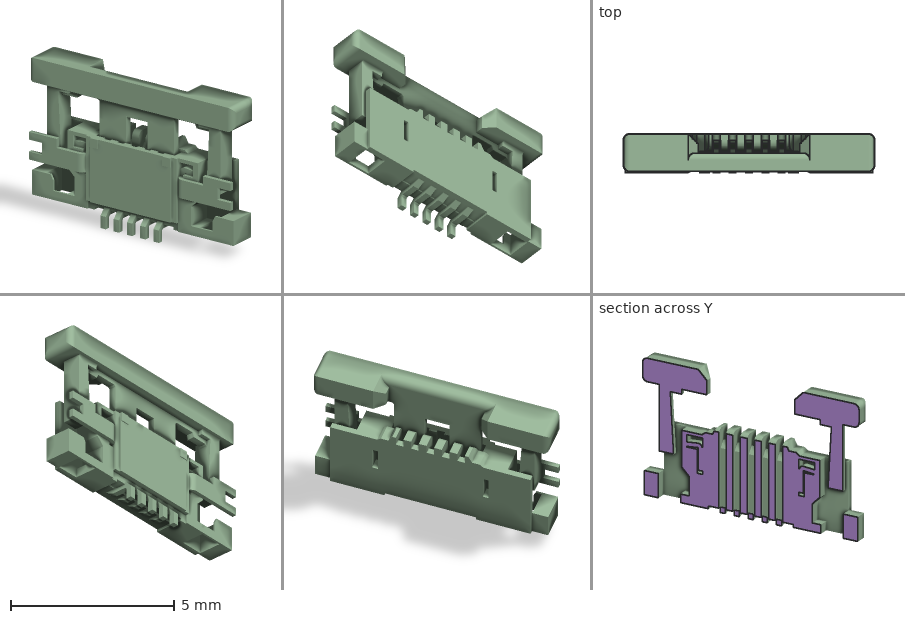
import cadquery as cq
import math


SLIDER_LENGTH = 7.7
SLIDER_BOTTOM = 3.76
SLIDER_TOP = 4.55
SLIDER_FRONT = 0.05
BACK = 1.2
END_ROUND = 0.19
NOTCH_HALF = 1.86
NOTCH_FLOOR = 0.61
NOTCH_ROUND = 0.2
GUSSET = 0.31

ARM_OUT = 3.265
ARM_IN_TOP = 2.84
ARM_IN_BOTTOM = 2.73
ARM_FRONT = 0.215
ARM_BACK = 0.825
ARM_BOTTOM = 1.555
ARM_ROOT_IN = 2.45
ARM_ROOT_FLARE = 0.06

WEB_BOTTOM = 3.595
WEB_END_BOTTOM = 3.46
WEB_END_IN = 2.255
WEB_SLOPE = 0.055
TONGUE_HALF = 1.4
TONGUE_FRONT = 0.37
TONGUE_RELIEF = 0.055
WINDOW_HALF = 0.41
WINDOW_TOP = 3.25

HOUSING_TOP = 2.42
BODY_HALF = 2.46
BODY_FRONT = 0.17
PLATE_HALF = 3.265
PLATE_FRONT = 1.01
EAR_HALF = 3.795
EAR_TOP = 0.82
EAR_BACK = 1.08
FLOOR_TOP = 0.3
POCKET_IN = 2.195
POCKET_OUT = 3.01
POCKET_CHAMFER_X = 0.085
POCKET_CHAMFER_Z = 0.17
POCKET_BEVEL_LOW = 0.925
CHANNEL_IN = 2.495
CHANNEL_OUT = 3.28
CHANNEL_FRONT = 0.24

PANEL_HALF = 1.71
PANEL_FRONT = 0.09
FACE_HALF = 1.52
FACE_FRONT = 0.03
CORNER_PAD = 0.3
RAIL_FRONT = 0.23
RAIL_BACK = 0.58
RAIL_BOTTOM = 0.09
RAIL_HALF = 1.49

CAVITY_HALF = 1.485
CAVITY_FRONT = 0.29
CAVITY_BACK = 0.655
GROOVE_FRONT = 0.2

LEDGE_TOP = 2.51
LEDGE_HALF = 1.73
LEDGE_TOP_HALF = 1.61
RIB_TOP = 2.725
RIB_ROUND_DEPTH = 0.18
RIB_HALF = 1.24
RIB_BASE_HALF = 1.36

CONTACTS = 5
PITCH = 0.5
GROOVE_WIDTH = 0.25
GROOVE_BACK = 1.0
PIN_WIDTH = 0.2
PIN_BOTTOM = -0.45
PIN_THICK = 0.18
PIN_KNEE = -0.04
PIN_SLOPE = 0.2
PIN_RELIEF = 0.05
CONTACT_FRONT = 0.74
CONTACT_PEAK = 0.91
CONTACT_TOP = 2.31
CONTACT_SLOPE = 0.23

TAB_THICK = 0.15
TAB_LOW = 1.2
TAB_HIGH = 1.81
TAB_TOP = 2.11
TAB_STEP = 2.76
FORK_ROOT = 3.3
FORK_LOW = 1.46
FORK_HIGH = 1.855
TAB_BEND = 0.255
TAB_LEG_BACK = 0.925
TAB_SLOT_OUT = 1.895
TAB_SLOT_LOW = 1.11
NICHE_OUT = 2.26
NICHE_LOW = 1.9
NICHE_HIGH = 2.295
HOOK_FRONT = 0.27
HOOK_THICK = 0.16
HOOK_DROOP = 0.04


def box(x0, x1, y0, y1, z0, z1):
    return cq.Workplane("XY").box(x1 - x0, y1 - y0, z1 - z0, centered=False).translate((x0, y0, z0))


def centred(half, y0, y1, z0, z1):
    return box(-half, half, y0, y1, z0, z1)


def along_y(outline, y0, y1):
    """Closed X-Z outline swept from y0 to y1."""
    return outline.close().extrude(y0 - y1).translate((0, y0, 0))


def along_x(outline, x0, x1):
    """Closed Y-Z outline swept from x0 to x1."""
    return outline.close().extrude(x1 - x0).translate((x0, 0, 0))


def both_sides(half):
    return half.union(half.mirror("YZ"))


def slider_bar():
    half_length = SLIDER_LENGTH / 2
    bar = centred(half_length, SLIDER_FRONT, BACK, SLIDER_BOTTOM, SLIDER_TOP)
    bar = bar.faces("<X or >X").edges().fillet(END_ROUND)
    bar = bar.cut(centred(NOTCH_HALF, SLIDER_FRONT, BACK, SLIDER_BOTTOM, SLIDER_TOP))
    middle = centred(NOTCH_HALF, SLIDER_FRONT, NOTCH_FLOOR, SLIDER_BOTTOM, SLIDER_TOP)
    middle = middle.edges(">Y and >Z").fillet(NOTCH_ROUND)
    return bar.union(middle).union(both_sides(notch_gusset()))


def notch_gusset():
    inner = NOTCH_HALF - GUSSET
    plan = cq.Workplane("XY").polyline([
        (NOTCH_HALF, SLIDER_FRONT), (NOTCH_HALF, BACK), (inner, BACK - GUSSET), (inner, SLIDER_FRONT),
    ])
    block = plan.close().extrude(SLIDER_TOP - SLIDER_BOTTOM).translate((0, 0, SLIDER_BOTTOM))
    slope = cq.Workplane("XZ").polyline([
        (inner, SLIDER_TOP - GUSSET), (NOTCH_HALF, SLIDER_TOP), (inner, SLIDER_TOP),
    ])
    return block.cut(along_y(slope, SLIDER_FRONT, BACK))


def slider_arm():
    outline = cq.Workplane("XZ").polyline([
        (ARM_OUT, ARM_BOTTOM), (ARM_OUT, SLIDER_BOTTOM), (ARM_ROOT_IN, SLIDER_BOTTOM),
        (ARM_ROOT_IN, WEB_BOTTOM), (ARM_IN_TOP, WEB_BOTTOM), (ARM_IN_TOP, WEB_END_BOTTOM),
        (ARM_IN_BOTTOM, ARM_BOTTOM),
    ])
    arm = along_y(outline, ARM_FRONT, ARM_BACK)
    low = SLIDER_BOTTOM - ARM_ROOT_FLARE
    sag = ARM_ROOT_FLARE * (1 - math.sqrt(0.5))
    flare = (
        cq.Workplane("YZ").moveTo(ARM_FRONT, low)
        .threePointArc((ARM_FRONT - sag, SLIDER_BOTTOM - sag), (ARM_FRONT - ARM_ROOT_FLARE, SLIDER_BOTTOM))
        .lineTo(ARM_BACK + ARM_ROOT_FLARE, SLIDER_BOTTOM)
        .threePointArc((ARM_BACK + sag, SLIDER_BOTTOM - sag), (ARM_BACK, low))
    )
    return arm.union(along_x(flare, ARM_ROOT_IN, ARM_OUT))


def slider_tongue():
    half = (
        cq.Workplane("XZ").moveTo(0, SLIDER_BOTTOM)
        .lineTo(ARM_OUT, SLIDER_BOTTOM)
        .lineTo(ARM_OUT, WEB_END_BOTTOM - WEB_SLOPE)
        .lineTo(ARM_IN_TOP, WEB_END_BOTTOM - WEB_SLOPE)
        .lineTo(ARM_IN_TOP - WEB_SLOPE, WEB_END_BOTTOM)
        .lineTo(WEB_END_IN, WEB_END_BOTTOM)
        .lineTo(WEB_END_IN - WEB_SLOPE, WEB_BOTTOM)
        .lineTo(TONGUE_HALF + TONGUE_RELIEF, WEB_BOTTOM)
        .lineTo(TONGUE_HALF, WEB_BOTTOM - TONGUE_RELIEF)
        .lineTo(TONGUE_HALF, FLOOR_TOP)
        .lineTo(WINDOW_HALF, FLOOR_TOP)
        .lineTo(WINDOW_HALF, WINDOW_TOP)
        .lineTo(0, WINDOW_TOP)
    )
    return both_sides(along_y(half, TONGUE_FRONT, NOTCH_FLOOR))


def housing_ear():
    """Outer foot with the pocket that clears the slider arm."""
    ear = box(PANEL_HALF, EAR_HALF, BODY_FRONT, EAR_BACK, 0, EAR_TOP)
    body_side = box(PANEL_HALF, BODY_HALF, BODY_FRONT, BACK, 0, HOUSING_TOP)
    pocket = cq.Workplane("XZ").polyline([
        (POCKET_OUT, FLOOR_TOP), (POCKET_OUT, EAR_TOP - POCKET_CHAMFER_Z),
        (POCKET_OUT + POCKET_CHAMFER_X, EAR_TOP), (BODY_HALF, EAR_TOP),
        (BODY_HALF, POCKET_BEVEL_LOW + BODY_HALF - POCKET_IN), (POCKET_IN, POCKET_BEVEL_LOW),
        (POCKET_IN, FLOOR_TOP),
    ])
    channel = box(CHANNEL_IN, CHANNEL_OUT, CHANNEL_FRONT, PLATE_FRONT, 0, EAR_TOP)
    return ear.union(body_side).cut(along_y(pocket, BODY_FRONT, PLATE_FRONT)).cut(channel)


def back_wall_top():
    """Raised ledge and rounded ribs that lead the cable in."""
    ledge = cq.Workplane("XZ").polyline([
        (-LEDGE_HALF, HOUSING_TOP), (-LEDGE_TOP_HALF, LEDGE_TOP),
        (LEDGE_TOP_HALF, LEDGE_TOP), (LEDGE_HALF, HOUSING_TOP),
    ])
    ribs = cq.Workplane("XZ").polyline([
        (-RIB_BASE_HALF, LEDGE_TOP), (-RIB_HALF, RIB_TOP), (RIB_HALF, RIB_TOP), (RIB_BASE_HALF, LEDGE_TOP),
    ])
    rise = RIB_TOP - LEDGE_TOP
    radius = (rise ** 2 + RIB_ROUND_DEPTH ** 2) / (2 * RIB_ROUND_DEPTH)
    half_sweep = math.asin(rise / radius) / 2
    arc_middle = (
        CAVITY_BACK + radius * (1 - math.cos(half_sweep)),
        LEDGE_TOP + radius * math.sin(half_sweep),
    )
    lead_in = (
        cq.Workplane("YZ").moveTo(CAVITY_BACK, LEDGE_TOP)
        .threePointArc(arc_middle, (CAVITY_BACK + RIB_ROUND_DEPTH, RIB_TOP))
        .lineTo(BACK, RIB_TOP)
        .lineTo(BACK, LEDGE_TOP)
    )
    ribs = along_y(ribs, CAVITY_BACK, BACK).intersect(along_x(lead_in, -RIB_BASE_HALF, RIB_BASE_HALF))
    return along_y(ledge, CAVITY_BACK, BACK).union(ribs)


def contact_positions():
    return [(i - (CONTACTS - 1) / 2) * PITCH for i in range(CONTACTS)]


def housing():
    body = centred(PANEL_HALF, RAIL_FRONT, BACK, 0, HOUSING_TOP)
    body = body.union(centred(PLATE_HALF, PLATE_FRONT, BACK, 0, HOUSING_TOP))
    body = body.union(both_sides(housing_ear()))
    body = body.union(centred(PANEL_HALF, PANEL_FRONT, CAVITY_FRONT, FLOOR_TOP, HOUSING_TOP))
    body = body.union(centred(FACE_HALF, FACE_FRONT, CAVITY_FRONT, FLOOR_TOP, HOUSING_TOP))
    pad = box(FACE_HALF - CORNER_PAD, FACE_HALF, 0, CAVITY_FRONT, HOUSING_TOP - CORNER_PAD, HOUSING_TOP)
    body = body.union(both_sides(pad)).union(back_wall_top())
    body = body.cut(centred(RAIL_HALF, 0, BACK, 0, RAIL_BOTTOM))
    body = body.cut(centred(CAVITY_HALF, CAVITY_FRONT, CAVITY_BACK, FLOOR_TOP, RIB_TOP))
    body = body.cut(centred(CAVITY_HALF, RAIL_BACK, CAVITY_BACK, 0, FLOOR_TOP))
    for x in contact_positions():
        left = x - GROOVE_WIDTH / 2
        right = x + GROOVE_WIDTH / 2
        body = body.cut(box(left, right, GROOVE_FRONT, CAVITY_FRONT, FLOOR_TOP, HOUSING_TOP))
        body = body.cut(box(left, right, CAVITY_BACK, GROOVE_BACK, 0, RIB_TOP))
        body = body.cut(box(left, right, CAVITY_BACK, BACK, HOUSING_TOP, RIB_TOP))
    slot = box(PANEL_HALF, TAB_SLOT_OUT, BODY_FRONT, BACK, TAB_SLOT_LOW, NICHE_LOW)
    niche = box(PANEL_HALF, NICHE_OUT, BODY_FRONT, PLATE_FRONT, NICHE_LOW, NICHE_HIGH)
    return body.cut(both_sides(slot.union(niche)))


def contact(x):
    """Upright beam in its groove, foot through the rail and bent solder pin."""
    foot_top = PIN_KNEE + PIN_SLOPE
    shoulder = CONTACT_TOP - CONTACT_SLOPE
    outline = cq.Workplane("YZ").polyline([
        (0, PIN_BOTTOM), (0, PIN_KNEE), (PIN_SLOPE, foot_top), (CONTACT_FRONT, foot_top),
        (CONTACT_FRONT, shoulder), (CONTACT_PEAK, CONTACT_TOP), (GROOVE_BACK, shoulder),
        (GROOVE_BACK, RAIL_BOTTOM), (CONTACT_FRONT, PIN_KNEE), (PIN_THICK + PIN_RELIEF, PIN_KNEE),
        (PIN_THICK, PIN_KNEE - PIN_RELIEF), (PIN_THICK, PIN_BOTTOM),
    ])
    return along_x(outline, x - PIN_WIDTH / 2, x + PIN_WIDTH / 2)


def solder_tab():
    """Forked sheet tab, bent back into the housing and hooked over inside the niche."""
    flat_end = PANEL_HALF + TAB_BEND
    plate = cq.Workplane("XZ").polyline([
        (flat_end, TAB_LOW), (EAR_HALF, TAB_LOW), (EAR_HALF, FORK_LOW), (FORK_ROOT, FORK_LOW),
        (FORK_ROOT, FORK_HIGH), (EAR_HALF, FORK_HIGH), (EAR_HALF, TAB_TOP), (TAB_STEP, TAB_TOP),
        (TAB_STEP, TAB_HIGH), (flat_end, TAB_HIGH),
    ])
    inner = TAB_BEND - TAB_THICK
    diagonal = math.sqrt(0.5)
    bend = (
        cq.Workplane("XY").moveTo(flat_end, 0)
        .threePointArc((flat_end - TAB_BEND * diagonal, TAB_BEND * (1 - diagonal)), (PANEL_HALF, TAB_BEND))
        .lineTo(PANEL_HALF, TAB_LEG_BACK)
        .lineTo(PANEL_HALF + TAB_THICK, TAB_LEG_BACK)
        .lineTo(PANEL_HALF + TAB_THICK, TAB_BEND)
        .threePointArc((flat_end - inner * diagonal, TAB_BEND - inner * diagonal), (flat_end, TAB_THICK))
        .close().extrude(TAB_HIGH - TAB_LOW).translate((0, 0, TAB_LOW))
    )
    hook_inner = PANEL_HALF + HOOK_THICK
    hook_under = TAB_TOP - HOOK_THICK
    hook = (
        cq.Workplane("XZ").moveTo(PANEL_HALF, TAB_LOW)
        .lineTo(PANEL_HALF, hook_under)
        .threePointArc((hook_inner - HOOK_THICK * diagonal, hook_under + HOOK_THICK * diagonal),
                       (hook_inner, TAB_TOP))
        .lineTo(NICHE_OUT, TAB_TOP - HOOK_DROOP)
        .lineTo(NICHE_OUT, hook_under - HOOK_DROOP)
        .lineTo(hook_inner, hook_under)
        .lineTo(hook_inner, TAB_LOW)
    )
    return along_y(plate, 0, TAB_THICK).union(bend).union(along_y(hook, HOOK_FRONT, TAB_LEG_BACK))


result = housing().union(both_sides(solder_tab()))
for position in contact_positions():
    result = result.union(contact(position))
result = result.union(slider_bar()).union(both_sides(slider_arm())).union(slider_tongue())